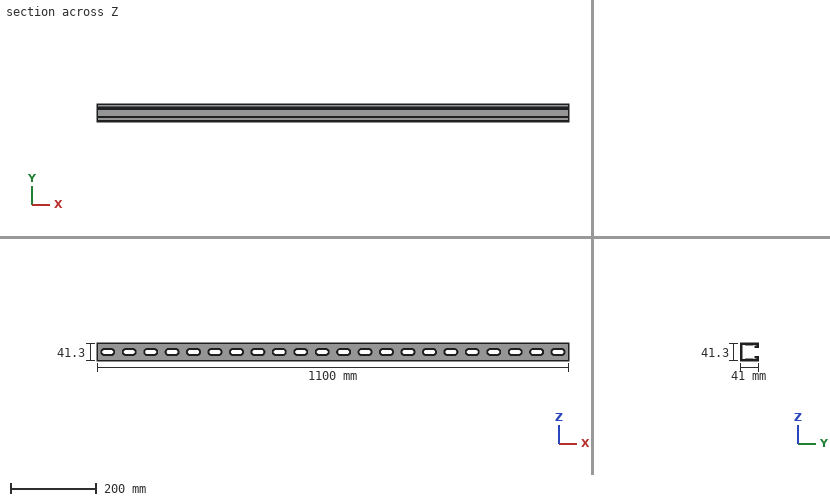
import cadquery as cq
import math

length = 1100.0
depth = 41.0
width = 41.3
thickness = 2.5

opening = 22.3
lip_return = 7.5

groove_depth = 0.75
groove_wall_angle = math.radians(30.0)
groove_wall_run = groove_depth / math.tan(groove_wall_angle)
groove_start = 11.0

slot_length = 30.0
slot_width = 13.5
slot_pitch = 50.0
slot_count = int(length // slot_pitch)

web_y = -depth / 2
lip_y = depth / 2
half_width = width / 2
half_opening = opening / 2


def wall_surface(offset):
    """Points of a side wall surface, web end to lip end, at a distance inside the outer face."""
    face = half_width - offset
    floor = face - groove_depth
    near = web_y + groove_start
    far = lip_y - groove_start
    return [
        (near, face),
        (near + groove_wall_run, floor),
        (far - groove_wall_run, floor),
        (far, face),
    ]


def half_profile():
    """Upper half of the constant cross-section, in (Y, Z), closed along the mid-plane."""
    lip_tip = lip_y - lip_return
    outer = [(web_y, 0), (web_y, half_width)] + wall_surface(0) + [(lip_y, half_width)]
    lip = [
        (lip_y, half_opening),
        (lip_tip, half_opening),
        (lip_tip, half_opening + thickness),
        (lip_y - thickness, half_opening + thickness),
        (lip_y - thickness, half_width - thickness),
    ]
    inner = wall_surface(thickness)[::-1]
    web = [(web_y + thickness, half_width - thickness), (web_y + thickness, 0)]
    return outer + lip + inner + web


def make_channel():
    """Extrude the upper half along X and mirror it to the full channel."""
    upper = (
        cq.Workplane("YZ", origin=(-length / 2, 0, 0))
        .polyline(half_profile())
        .close()
        .extrude(length)
    )
    return upper.union(upper.mirror("XY")).clean()


def make_slots():
    """Evenly pitched round-ended slots through the web only."""
    return (
        cq.Workplane("XZ", origin=(0, web_y + thickness, 0))
        .rarray(slot_pitch, 1, slot_count, 1)
        .slot2D(slot_length, slot_width)
        .extrude(thickness)
    )


result = make_channel().cut(make_slots())